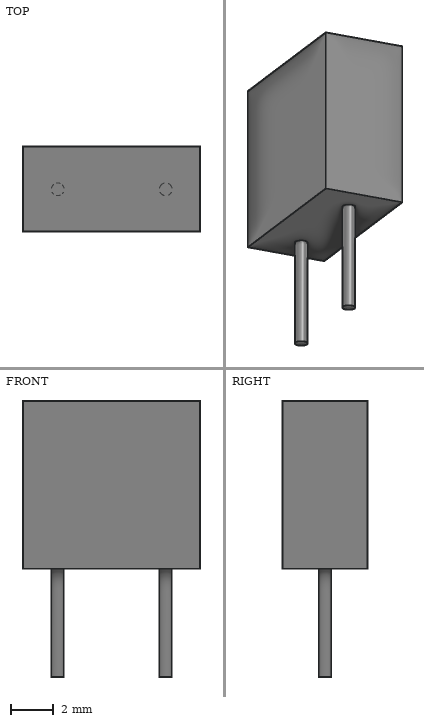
import cadquery as cq

total_height = 13.0
housing_length = 8.35
housing_width = 4.0
housing_height = 7.9

lead_diameter = 0.6
lead_pitch = 5.08
lead_length = total_height - housing_height


def make_housing():
    """Plain rectangular block standing on Z = 0."""
    return cq.Workplane("XY").box(
        housing_length, housing_width, housing_height, centered=(True, True, False)
    )


def make_lead(x_position):
    """Straight round lead hanging from the underside of the housing."""
    return cq.Workplane("XY").center(x_position, 0).circle(lead_diameter / 2).extrude(-lead_length)


housing = make_housing()
leads = [make_lead(side * lead_pitch / 2) for side in (-1, 1)]

result = cq.Compound.makeCompound([housing.val(), *[lead.val() for lead in leads]])